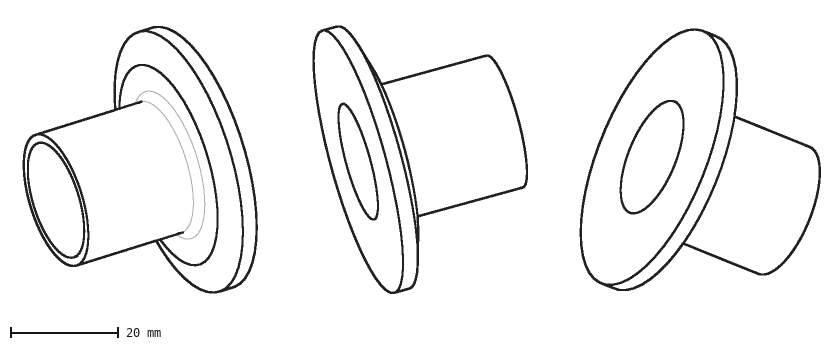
import cadquery as cq
import math

flange_diameter = 50.4
flange_face_diameter = 38.6
rim_thickness = 2.9
taper_angle = 20.0
overall_length = 28.7
tube_diameter = 25.4
bore_diameter = 22.2
root_fillet = 1.55

flange_radius = flange_diameter / 2
flange_face_radius = flange_face_diameter / 2
tube_radius = tube_diameter / 2
bore_radius = bore_diameter / 2

taper_depth = (flange_radius - flange_face_radius) * math.tan(math.radians(taper_angle))
flange_thickness = rim_thickness + taper_depth

fillet_radius_start = tube_radius + root_fillet
fillet_y_end = -flange_thickness - root_fillet
arc_offset = root_fillet * (1 - math.sqrt(0.5))
fillet_middle = (tube_radius + arc_offset, -flange_thickness - arc_offset)

section = (
    cq.Workplane("XY")
    .moveTo(bore_radius, 0)
    .lineTo(flange_radius, 0)
    .lineTo(flange_radius, -rim_thickness)
    .lineTo(flange_face_radius, -flange_thickness)
    .lineTo(fillet_radius_start, -flange_thickness)
    .threePointArc(fillet_middle, (tube_radius, fillet_y_end))
    .lineTo(tube_radius, -overall_length)
    .lineTo(bore_radius, -overall_length)
    .close()
)

result = section.revolve(360, (0, 0, 0), (0, 1, 0))